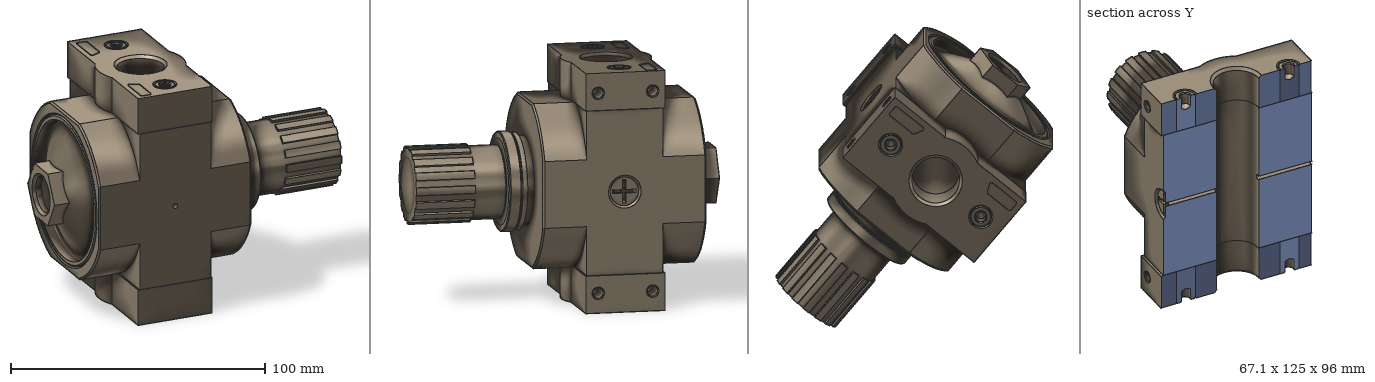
import cadquery as cq
import math


body_width = 66.0
body_half = body_width / 2
body_round_radius = 35.6
body_chamfer = 0.7
band_length = 30.8
neck_diameter = 36.0
thread_core_diameter = 34.38
port_bore = 18.63

gauge_rim = 13.16
gauge_floor = 11.45
gauge_depth = (gauge_rim - gauge_floor) / 2
slot_length = 9.5
slot_width = 1.4
slot_depth = 2.0
slot_end_run = 0.9
bleed_diameter = 2.0

cap_radius = 30.4
cap_seat_chamfer = 0.6
cap_edge_chamfer = 0.6
cap_recess_radius = 28.4
cap_cone_radius = 26.8
cap_cone_angle = 29.0
cap_cone_radius_at_face = 19.0
cap_seat_depth = 12.0
cap_tip_y = -43.0
hex_across_flats = 22.0
hex_recess_rim = 17.0
hex_recess_floor = 14.7
hex_recess_depth = 3.5

plate_thickness = 15.0
plate_left = -34.1
plate_right = 32.8
plate_depth = 32.0
plate_boss_diameter = 36.0
plate_outer_z = body_half + plate_thickness
port_rim = 20.95
side_hole_rim = 5.0
side_hole_diameter = 4.13
side_hole_depth = 10.0
side_hole_y = 11.0
side_hole_z = plate_outer_z - 8.0
drill_point_angle = 118.0

label_bottom = -13.6
label_top = -9.0
label_slant = 2.2
label_corner_radius = 0.8
label_engraving = 0.2
label_left_span = (-31.5, -16.5)
label_right_span = (30.5, 16.6)

screw_diameter = 8.5
screw_seat_rim = 9.5
screw_x = 23.0
screw_edge_chamfer = 0.4
socket_rim = 5.0
socket_diameter = 4.2
socket_depth = 5.0

nut_bottom_y = 36.0
nut_groove_bottom_y = 37.9
nut_groove_top_y = 38.5
nut_top_y = 43.2
nut_diameter = 39.6
nut_collar_diameter = 38.4
nut_groove_diameter = 37.6
nut_chamfer = 0.4

knob_bottom_y = 43.8
knob_rib_bottom_y = 56.2
knob_rim_y = 80.0
knob_tip_y = 82.0
knob_diameter = 29.2
knob_rib_diameter = 31.0
knob_stem_diameter = 26.9
knob_dome_diameter = 22.0
rib_count = 16
rib_width = 3.1


def y_cylinder(diameter, y_start, y_end):
    """Cylinder on the Y axis between two Y positions."""
    profile = cq.Workplane("XZ", origin=(0, y_start, 0)).circle(diameter / 2)
    return profile.extrude(y_start - y_end)


def drilled_hole(plane, rim, diameter, depth):
    """Cutter for a blind hole along -normal of the plane: chamfered rim, straight wall, drill point."""
    rim_radius = rim / 2
    radius = diameter / 2
    point_length = radius / math.tan(math.radians(drill_point_angle / 2))
    profile = (
        cq.Workplane("XZ")
        .polyline([
            (0, 0),
            (rim_radius, 0),
            (radius, -(rim_radius - radius)),
            (radius, -depth),
            (0, -depth - point_length),
        ])
        .close()
    )
    cutter = profile.revolve(360, (0, 0, 0), (0, 1, 0))
    return cq.Workplane(cutter.val().moved(cq.Location(plane)))


def chamfer_cone(plane, rim, floor):
    """Cutter for a 45 degree countersink that starts at the plane and narrows along -normal."""
    depth = (rim - floor) / 2
    return cq.Workplane(cq.Solid.makeCone(rim / 2, floor / 2, depth, plane.origin, -plane.zDir))


def cross_slot():
    """Cutter for the cross slot, with sloping ends, below the gauge port floor."""
    floor_x = -body_half + gauge_depth
    half = slot_length / 2
    arm = (
        cq.Workplane("XY")
        .polyline([
            (floor_x, -half),
            (floor_x + slot_depth, -half + slot_end_run),
            (floor_x + slot_depth, half - slot_end_run),
            (floor_x, half),
        ])
        .close()
        .extrude(slot_width / 2, both=True)
    )
    return arm.union(arm.rotate((0, 0, 0), (1, 0, 0), 90))


def make_housing():
    square = cq.Workplane("XY").box(body_width, body_width, body_width)
    ends = square.intersect(y_cylinder(2 * body_round_radius, -body_half, body_half))
    ends = ends.faces("<Y or >Y").chamfer(body_chamfer)
    band = cq.Workplane("XY").box(body_width, band_length, body_width)
    body = ends.union(band)

    body = body.union(y_cylinder(neck_diameter, 0, nut_bottom_y))
    body = body.union(y_cylinder(thread_core_diameter, 0, nut_top_y))

    cap_plane = cq.Plane(origin=(0, -body_half, 0), xDir=(1, 0, 0), normal=(0, -1, 0))
    seat_rim = 2 * (cap_radius + cap_seat_chamfer)
    body = body.cut(y_cylinder(2 * cap_radius, -body_half, -body_half + cap_seat_depth))
    body = body.cut(chamfer_cone(cap_plane, seat_rim, 2 * cap_radius))

    body = body.cut(cq.Workplane("XY").circle(port_bore / 2).extrude(body_half, both=True))

    gauge_plane = cq.Plane(origin=(-body_half, 0, 0), xDir=(0, 1, 0), normal=(-1, 0, 0))
    body = body.cut(chamfer_cone(gauge_plane, gauge_rim, gauge_floor))
    body = body.cut(cross_slot())
    return body.cut(cq.Workplane("YZ").circle(bleed_diameter / 2).extrude(body_half, both=True))


def make_cap():
    face_y = -body_half
    cone_angle = math.radians(cap_cone_angle)
    slope = math.tan(cone_angle)
    cone_rim_y = face_y + (cap_cone_radius - cap_cone_radius_at_face) * slope
    cone_end_radius = hex_across_flats / 2
    cone_end_y = face_y - (cap_cone_radius_at_face - cone_end_radius) * slope
    fillet_radius = (cap_recess_radius - cap_cone_radius) / (1 + math.sin(cone_angle))
    wall_end_y = cone_rim_y - fillet_radius * math.cos(cone_angle)
    seat_y = face_y + cap_seat_depth
    dish = (
        cq.Workplane("XY")
        .moveTo(0, seat_y)
        .lineTo(cap_radius, seat_y)
        .lineTo(cap_radius, face_y + cap_edge_chamfer)
        .lineTo(cap_radius - cap_edge_chamfer, face_y)
        .lineTo(cap_recess_radius, face_y)
        .lineTo(cap_recess_radius, wall_end_y)
        .tangentArcPoint((cap_cone_radius, cone_rim_y), relative=False)
        .lineTo(cone_end_radius, cone_end_y)
        .lineTo(0, cone_end_y)
        .close()
        .revolve(360, (0, 0, 0), (0, 1, 0))
    )
    corner_diameter = hex_across_flats / math.cos(math.pi / 6)
    hexagon = cq.Workplane("XZ", origin=(0, cap_tip_y, 0)).polygon(6, corner_diameter)
    cap = dish.union(hexagon.extrude(cap_tip_y - seat_y))
    recess_plane = cq.Plane(origin=(0, cap_tip_y, 0), xDir=(1, 0, 0), normal=(0, -1, 0))
    cap = cap.cut(y_cylinder(hex_recess_floor, cap_tip_y, cap_tip_y + hex_recess_depth))
    return cap.cut(chamfer_cone(recess_plane, hex_recess_rim, hex_recess_floor))


def label_panel(outer_x, inner_x):
    """Cutter for one label panel, whose inner end is slanted."""
    toward_outer = math.copysign(label_slant, outer_x - inner_x)
    outline = (
        cq.Workplane("XY", origin=(0, 0, plate_outer_z))
        .polyline([
            (outer_x, label_bottom),
            (inner_x, label_bottom),
            (inner_x + toward_outer, label_top),
            (outer_x, label_top),
        ])
        .close()
    )
    return outline.extrude(-label_engraving).edges("|Z").fillet(label_corner_radius)


def make_top_plate():
    base = cq.Workplane("XY", origin=(0, 0, body_half))
    bar_centre = (plate_left + plate_right) / 2
    bar = base.center(bar_centre, 0).rect(plate_right - plate_left, plate_depth).extrude(plate_thickness)
    plate = bar.union(base.circle(plate_boss_diameter / 2).extrude(plate_thickness))

    port_plane = cq.Plane(origin=(0, 0, plate_outer_z))
    plate = plate.cut(base.circle(port_bore / 2).extrude(plate_thickness))
    plate = plate.cut(chamfer_cone(port_plane, port_rim, port_bore))

    for x in (-screw_x, screw_x):
        seat_plane = cq.Plane(origin=(x, 0, plate_outer_z))
        plate = plate.cut(base.center(x, 0).circle(screw_diameter / 2).extrude(plate_thickness))
        plate = plate.cut(chamfer_cone(seat_plane, screw_seat_rim, screw_diameter))

    for y in (-side_hole_y, side_hole_y):
        side_plane = cq.Plane(origin=(plate_left, y, side_hole_z), xDir=(0, 1, 0), normal=(-1, 0, 0))
        plate = plate.cut(drilled_hole(side_plane, side_hole_rim, side_hole_diameter, side_hole_depth))

    for span in (label_left_span, label_right_span):
        plate = plate.cut(label_panel(*span))
    return plate


def make_top_screw(x):
    blank = cq.Workplane("XY", origin=(x, 0, body_half)).circle(screw_diameter / 2)
    screw = blank.extrude(plate_thickness).faces(">Z").chamfer(screw_edge_chamfer)
    socket_plane = cq.Plane(origin=(x, 0, plate_outer_z))
    return screw.cut(drilled_hole(socket_plane, socket_rim, socket_diameter, socket_depth))


def make_nut():
    nut = y_cylinder(nut_diameter, nut_groove_top_y, nut_top_y).edges().chamfer(nut_chamfer)
    nut = nut.union(y_cylinder(nut_groove_diameter, nut_bottom_y, nut_top_y))
    nut = nut.union(y_cylinder(nut_collar_diameter, nut_bottom_y, nut_groove_bottom_y))
    return nut.cut(y_cylinder(thread_core_diameter, nut_bottom_y, nut_top_y))


def make_knob():
    dome_radius = knob_dome_diameter / 2
    dome_height = knob_tip_y - knob_rim_y
    sphere_radius = (dome_radius ** 2 + dome_height ** 2) / (2 * dome_height)
    mid_angle = math.asin(dome_radius / sphere_radius) / 2
    dome_mid = (
        sphere_radius * math.sin(mid_angle),
        knob_tip_y - sphere_radius * (1 - math.cos(mid_angle)),
    )
    knob = (
        cq.Workplane("XY")
        .moveTo(0, nut_top_y)
        .lineTo(knob_stem_diameter / 2, nut_top_y)
        .lineTo(knob_stem_diameter / 2, knob_bottom_y)
        .lineTo(knob_diameter / 2, knob_bottom_y)
        .lineTo(knob_diameter / 2, knob_rim_y)
        .lineTo(dome_radius, knob_rim_y)
        .threePointArc(dome_mid, (0, knob_tip_y))
        .close()
        .revolve(360, (0, 0, 0), (0, 1, 0))
    )
    grip = y_cylinder(knob_rib_diameter, knob_rib_bottom_y, knob_rim_y)
    grip_length = knob_rim_y - knob_rib_bottom_y
    grip_middle = (knob_rim_y + knob_rib_bottom_y) / 2
    bar = cq.Workplane("XY", origin=(0, grip_middle, 0)).box(knob_rib_diameter, grip_length, rib_width)
    bars = bar
    for i in range(1, rib_count // 2):
        bars = bars.union(bar.rotate((0, 0, 0), (0, 1, 0), i * 360 / rib_count))
    return knob.union(bars.intersect(grip))


housing = make_housing()
cap = make_cap()
nut = make_nut()
knob = make_knob()

top_plate = make_top_plate()
plates = [top_plate, top_plate.mirror("XY")]
screws = []
for x in (-screw_x, screw_x):
    top_screw = make_top_screw(x)
    screws += [top_screw, top_screw.mirror("XY")]

bodies = [housing, *plates, *screws, cap, nut, knob]
result = cq.Compound.makeCompound([body.val() for body in bodies])